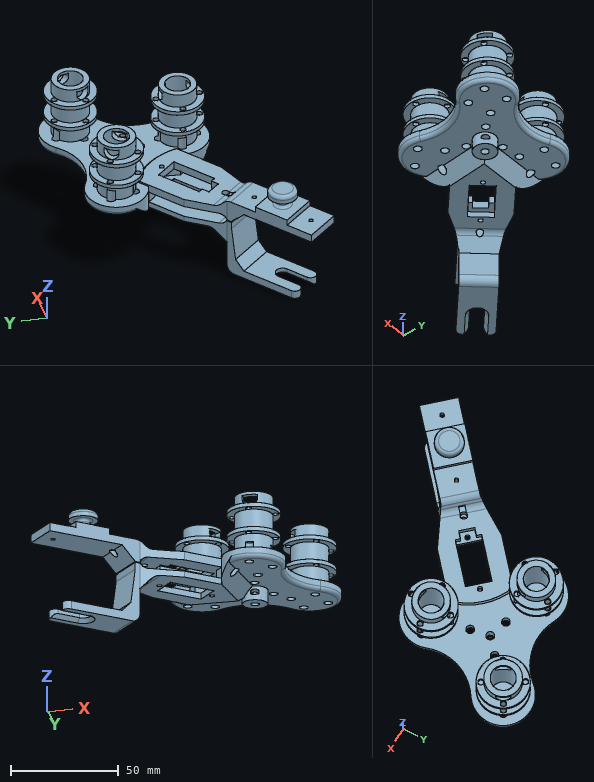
import cadquery as cq
import math

ARM_HEADING = 41.475

SPOOL_SPACING = 50.0
SPOOL_CIRCLE = SPOOL_SPACING / math.sqrt(3)
SPOOL_ANGLES = (0, 120, 240)
LOBE_RADIUS = 15.0
BLEND_RADIUS = 25.0
SPOOL_PLATE_BOTTOM = 31.0
SPOOL_PLATE_TOP = 36.0
SPOOL_PLATE_EDGE_FILLET = 2.0
PLATE_HOLE_DIAMETER = 3.9
PLATE_HOLE_CIRCLE = 9.8

SPOOL_TOP = 66.0
TUBE_RADIUS = 9.0
BORE_RADIUS = 6.0
FLANGE_RADIUS = 12.6
FLANGE_THICKNESS = 2.0
FLANGE_BOTTOMS = (45.0, 57.0)
FLANGE_HOLE_DIAMETER = 2.8
FLANGE_HOLE_CIRCLE = 10.4
FOOT_HOLE_DIAMETER = 4.0
FOOT_HOLE_TOP = 41.0
FOOT_HOLE_ANGLES = (0, 90, 180, 270)
NOTCHED_FEET = {0: (90,), 120: (0,), 240: FOOT_HOLE_ANGLES}
SHALLOW_FEET = {120: (90,)}
SHALLOW_CORE_RADIUS = 8.8
WINDOW_RADIUS = 3.6
WINDOW_BOTTOM = FLANGE_BOTTOMS[1] + FLANGE_THICKNESS
WINDOW_TOP = 64.4
SPOOL_TWIST = 30 - ARM_HEADING

LOWER_ARM_TOP = 4.2
LOWER_PLATE_BOTTOM = 24.1
LOWER_PLATE_TOP = 27.1
UPPER_PLATE_BOTTOM = 32.7
UPPER_PLATE_TOP = 36.8
ARM_TOP = 41.0
SLIT_LOW = 29.35
SLIT_HIGH = 29.75
GAP_ARCH_RADIUS = 4.0

ARM_HALF_WIDTH = 9.375
BRACKET_HALF_WIDTH = 15.4
ARM_TIP = -113.76
FORK_TIP = -105.3
WALL_BACK = -66.0
WALL_FRONT = -68.6
WALL_FRONT_LOW = -70.9
INNER_CORNER = -75.6
WALL_WAIST = 25.8
INNER_SLOPE_BASE = 9.0
FLARE_END = -45.8
HEEL_RADIUS = 4.0
BEND_RADIUS = 5.0
LOWER_GUSSET = 7.3
NOSE_ARC_CENTER = -50.0
NOSE_ARC_RADIUS = 34.3
NOSE_CHAMFER = UPPER_PLATE_TOP - SPOOL_PLATE_TOP

SERVO_START = -48.15
SERVO_LENGTH = 22.9
SERVO_WIDTH = 12.5
CABLE_NOTCH_LENGTH = 3.9
CABLE_NOTCH_WIDTH = 7.6
SERVO_SCREW_DIAMETER = 2.3
SERVO_SCREW_OFFSET = 2.5
TENDON_HOLE = -58.8
TENDON_HOLE_DIAMETER = 3.4
TENDON_GROOVE_WIDTH = 3.0
TENDON_GROOVE_END = -63.2

HUB_RADIUS = 6.0
BLOCK_TOP = 33.0
SLOPE_HEADING = 30 + math.degrees(math.asin((LOBE_RADIUS - HUB_RADIUS) / SPOOL_CIRCLE))
BLOCK_START = -26.1
CAVITY_HALF_WIDTH = 10.34
CAVITY_END_RADIUS = 4.4
SIDE_HOLE_WIDTH = 4.0
SIDE_HOLE_HEIGHT = 2.7
SIDE_HOLE_LEVEL = 28.1

PIN_X = -91.0
PAD_LENGTH = 18.0
PAD_TOP = 43.9
PIN_TOP = 53.0
PIN_HEAD_BOTTOM = 48.9
PIN_HEAD_RADIUS = 7.0
PIN_HEAD_ROUND = 2.0
PIN_NECK_RADIUS = 3.1
PIN_NECK_FILLET = 1.4
ARM_HOLE_OFFSET = 16.0
ARM_HOLE_DIAMETER = 2.0
SLOPE_BORE_DIAMETER = 3.7
SLOT_RADIUS = 3.45
SLOT_CHAMFER = 2.0

MARGIN = 1.0


def polar(radius, angle):
    return (radius * math.cos(math.radians(angle)), radius * math.sin(math.radians(angle)))


def cylinder(x, y, radius, bottom, top):
    return cq.Workplane("XY", origin=(x, y, bottom)).circle(radius).extrude(top - bottom)


def box(x_start, x_end, half_width, bottom, top):
    return cq.Workplane("XY").box(
        x_end - x_start, 2 * half_width, top - bottom, centered=(False, True, False)
    ).translate((x_start, 0, bottom))


def lobed_outline(bottom, top):
    """Three lobes joined by concave arcs that are tangent to them."""
    triangle_inradius = SPOOL_CIRCLE / 2
    reach = LOBE_RADIUS + BLEND_RADIUS
    blend_circle = triangle_inradius + math.sqrt(reach**2 - (SPOOL_SPACING / 2) ** 2)

    def tangent_point(lobe_angle, blend_angle):
        lobe = cq.Vector(*polar(SPOOL_CIRCLE, lobe_angle))
        blend = cq.Vector(*polar(blend_circle, blend_angle))
        point = lobe + (blend - lobe) * (LOBE_RADIUS / reach)
        return (point.x, point.y)

    outline = cq.Workplane("XY", origin=(0, 0, bottom)).moveTo(*tangent_point(0, -60))
    for angle in SPOOL_ANGLES:
        outline = outline.threePointArc(
            polar(SPOOL_CIRCLE + LOBE_RADIUS, angle), tangent_point(angle, angle + 60)
        )
        outline = outline.threePointArc(
            polar(blend_circle - BLEND_RADIUS, angle + 60), tangent_point(angle + 120, angle + 60)
        )
    return outline.close().extrude(top - bottom)


def spool_plate():
    plate = lobed_outline(SPOOL_PLATE_BOTTOM, SPOOL_PLATE_TOP)
    return plate.faces("<Z").edges().fillet(SPOOL_PLATE_EDGE_FILLET)


def at_spool(body, spool_angle):
    """Move a body, made about the Z axis, to the spool at the given angle."""
    placed = body.rotate((0, 0, 0), (0, 0, 1), SPOOL_TWIST).translate((SPOOL_CIRCLE, 0, 0))
    return placed.rotate((0, 0, 0), (0, 0, 1), spool_angle)


def spool():
    body = cylinder(0, 0, TUBE_RADIUS, SPOOL_PLATE_TOP - MARGIN, SPOOL_TOP)
    for bottom in FLANGE_BOTTOMS:
        body = body.union(cylinder(0, 0, FLANGE_RADIUS, bottom, bottom + FLANGE_THICKNESS))
    body = body.cut(cylinder(0, 0, BORE_RADIUS, SPOOL_PLATE_TOP, SPOOL_TOP))
    flange_holes = (
        cq.Workplane("XY", origin=(0, 0, FLANGE_BOTTOMS[0]))
        .polarArray(FLANGE_HOLE_CIRCLE, 0, 360, 4)
        .circle(FLANGE_HOLE_DIAMETER / 2)
        .extrude(WINDOW_BOTTOM - FLANGE_BOTTOMS[0])
    )
    window_side = WINDOW_BOTTOM + WINDOW_RADIUS
    window = (
        cq.Workplane("YZ")
        .moveTo(-WINDOW_RADIUS, WINDOW_TOP)
        .lineTo(-WINDOW_RADIUS, window_side)
        .threePointArc((0, WINDOW_BOTTOM), (WINDOW_RADIUS, window_side))
        .lineTo(WINDOW_RADIUS, WINDOW_TOP)
        .close()
        .extrude(TUBE_RADIUS + MARGIN, both=True)
    )
    return body.cut(flange_holes).cut(window)


def foot_holes(spool_angle):
    """Plate holes under the rim of a tube; some run on upward and notch the tube's foot."""
    holes = cq.Workplane("XY")
    for angle in FOOT_HOLE_ANGLES:
        x, y = polar(TUBE_RADIUS, angle)
        notched = angle in NOTCHED_FEET[spool_angle]
        top = FOOT_HOLE_TOP if notched else SPOOL_PLATE_TOP
        hole = cylinder(x, y, FOOT_HOLE_DIAMETER / 2, LOWER_PLATE_BOTTOM - MARGIN, top)
        if angle in SHALLOW_FEET.get(spool_angle, ()):
            notch = cylinder(x, y, FOOT_HOLE_DIAMETER / 2, SPOOL_PLATE_TOP, FOOT_HOLE_TOP)
            core = cylinder(0, 0, SHALLOW_CORE_RADIUS, SPOOL_PLATE_TOP, FOOT_HOLE_TOP)
            hole = hole.union(notch.cut(core))
        holes = holes.add(hole)
    return holes.combine()


def arm_outline():
    """Arm outline from above: a straight finger that flares to the round-nosed bracket."""
    side_end = NOSE_ARC_CENTER + math.sqrt(NOSE_ARC_RADIUS**2 - BRACKET_HALF_WIDTH**2)
    return (
        cq.Workplane("XY")
        .moveTo(ARM_TIP, ARM_HALF_WIDTH)
        .lineTo(WALL_BACK, ARM_HALF_WIDTH)
        .lineTo(FLARE_END, BRACKET_HALF_WIDTH)
        .lineTo(side_end, BRACKET_HALF_WIDTH)
        .threePointArc((NOSE_ARC_CENTER + NOSE_ARC_RADIUS, 0), (side_end, -BRACKET_HALF_WIDTH))
        .lineTo(FLARE_END, -BRACKET_HALF_WIDTH)
        .lineTo(WALL_BACK, -ARM_HALF_WIDTH)
        .lineTo(ARM_TIP, -ARM_HALF_WIDTH)
        .close()
        .extrude(ARM_TOP)
    )


def arm_profile():
    """Side profile of the whole arm: two fingers, the wall between them and two bracket plates."""
    rise = ARM_TOP - UPPER_PLATE_TOP
    profile = (
        cq.Workplane("XZ")
        .polyline(
            [
                (ARM_TIP, ARM_TOP),
                (WALL_BACK, ARM_TOP),
                (WALL_BACK + rise, UPPER_PLATE_TOP),
                (0, UPPER_PLATE_TOP),
                (0, LOWER_PLATE_BOTTOM),
                (WALL_BACK + LOWER_GUSSET, LOWER_PLATE_BOTTOM),
                (WALL_BACK, LOWER_PLATE_BOTTOM - LOWER_GUSSET),
                (WALL_BACK, 0),
                (FORK_TIP, 0),
                (FORK_TIP, LOWER_ARM_TOP),
                (INNER_CORNER, LOWER_ARM_TOP),
                (WALL_FRONT_LOW, INNER_SLOPE_BASE),
                (WALL_FRONT, WALL_WAIST),
                (WALL_FRONT, SLIT_HIGH),
                (INNER_CORNER, UPPER_PLATE_TOP),
                (ARM_TIP, UPPER_PLATE_TOP),
            ]
        )
        .close()
        .extrude(BRACKET_HALF_WIDTH, both=True)
    )

    def bend(x, z):
        nearby = cq.selectors.BoxSelector(
            (x - MARGIN, -BRACKET_HALF_WIDTH, z - MARGIN), (x + MARGIN, BRACKET_HALF_WIDTH, z + MARGIN)
        )
        return profile.edges("|Y").edges(nearby)

    profile = bend(WALL_BACK, ARM_TOP).fillet(BEND_RADIUS)
    profile = bend(WALL_BACK + rise, UPPER_PLATE_TOP).fillet(BEND_RADIUS)
    profile = bend(WALL_BACK + LOWER_GUSSET, LOWER_PLATE_BOTTOM).fillet(BEND_RADIUS)
    return bend(WALL_BACK, 0).fillet(HEEL_RADIUS)


def plate_gap():
    """Gap between the bracket plates, arched at the wall and open to the front through a thin slit."""
    middle = (UPPER_PLATE_BOTTOM + LOWER_PLATE_TOP) / 2
    half_height = UPPER_PLATE_BOTTOM - middle
    arch_angle = math.acos(1 - half_height / GAP_ARCH_RADIUS)
    arch_end = WALL_BACK + GAP_ARCH_RADIUS * math.sin(arch_angle)
    arch_middle = arch_end - GAP_ARCH_RADIUS * math.sin(arch_angle / 2)
    arch_rise = half_height - GAP_ARCH_RADIUS * (1 - math.cos(arch_angle / 2))
    gap = (
        cq.Workplane("XZ")
        .moveTo(WALL_BACK, middle)
        .threePointArc((arch_middle, middle + arch_rise), (arch_end, UPPER_PLATE_BOTTOM))
        .lineTo(0, UPPER_PLATE_BOTTOM)
        .lineTo(0, LOWER_PLATE_TOP)
        .lineTo(arch_end, LOWER_PLATE_TOP)
        .threePointArc((arch_middle, middle - arch_rise), (WALL_BACK, middle))
        .close()
        .extrude(BRACKET_HALF_WIDTH, both=True)
    )
    slit = box(WALL_FRONT - MARGIN, WALL_BACK + MARGIN, BRACKET_HALF_WIDTH, SLIT_LOW, SLIT_HIGH)
    return gap.union(slit)


def arm():
    """Arm with its fingers and bracket plates, before the fork and the servo seat are cut."""
    body = arm_profile().intersect(arm_outline()).cut(plate_gap())
    return body.faces(">X").edges(">Z").chamfer(NOSE_CHAMFER)


def block_slope(side):
    """Removed space beyond a 45 degree plane; its lowest line is tangent to hub and spool lobe."""
    size = 2 * (SPOOL_CIRCLE + LOBE_RADIUS)
    height = BLOCK_TOP - LOWER_PLATE_BOTTOM + MARGIN
    wedge = (
        cq.Workplane("XZ")
        .moveTo(-HUB_RADIUS, LOWER_PLATE_BOTTOM)
        .lineTo(-HUB_RADIUS + height, LOWER_PLATE_BOTTOM + height)
        .lineTo(size, LOWER_PLATE_BOTTOM + height)
        .lineTo(size, LOWER_PLATE_BOTTOM)
        .close()
        .extrude(size, both=True)
    )
    return wedge.rotate((0, 0, 0), (0, 0, 1), side * SLOPE_HEADING)


def cavity():
    """Space in the block between the plates: a V closed by a round end."""
    tip = BLOCK_START + CAVITY_HALF_WIDTH * math.tan(math.radians(SLOPE_HEADING))
    triangle = (
        cq.Workplane("XY", origin=(0, 0, LOWER_PLATE_TOP))
        .polyline([(BLOCK_START, CAVITY_HALF_WIDTH), (tip, 0), (BLOCK_START, -CAVITY_HALF_WIDTH)])
        .close()
        .extrude(UPPER_PLATE_BOTTOM - LOWER_PLATE_TOP)
    )
    return triangle.edges("|Z and >X").fillet(CAVITY_END_RADIUS)


def hub_block():
    """Block that ties the lobes beside the arm, the hub and both bracket plates together."""
    front = box(BLOCK_START, 0, BRACKET_HALF_WIDTH, LOWER_PLATE_BOTTOM, BLOCK_TOP)
    block = lobed_outline(LOWER_PLATE_BOTTOM, BLOCK_TOP).union(front)
    return block.cut(cavity())


def hub():
    return cylinder(0, 0, HUB_RADIUS, LOWER_PLATE_BOTTOM, SPOOL_PLATE_TOP)


def side_holes():
    hole = (
        cq.Workplane("YZ", origin=(0, 0, SIDE_HOLE_LEVEL))
        .ellipse(SIDE_HOLE_WIDTH / 2, SIDE_HOLE_HEIGHT / 2)
        .extrude(HUB_RADIUS + MARGIN)
    )
    holes = cq.Workplane("XY")
    for angle in SPOOL_ANGLES:
        holes = holes.add(hole.rotate((0, 0, 0), (0, 0, 1), angle))
    return holes.combine()


def plate_holes():
    centers = [(0, 0)] + [polar(PLATE_HOLE_CIRCLE, angle) for angle in SPOOL_ANGLES]
    return (
        cq.Workplane("XY")
        .pushPoints(centers)
        .circle(PLATE_HOLE_DIAMETER / 2)
        .extrude(SPOOL_PLATE_TOP)
    )


def servo_cuts():
    servo_end = SERVO_START + SERVO_LENGTH
    cuts = box(SERVO_START, servo_end, SERVO_WIDTH / 2, 0, ARM_TOP)
    notch_start = SERVO_START - CABLE_NOTCH_LENGTH
    cuts = cuts.union(
        box(notch_start, SERVO_START, CABLE_NOTCH_WIDTH / 2, UPPER_PLATE_BOTTOM, ARM_TOP)
    )
    for x in (SERVO_START - SERVO_SCREW_OFFSET, servo_end + SERVO_SCREW_OFFSET):
        cuts = cuts.union(cylinder(x, 0, SERVO_SCREW_DIAMETER / 2, 0, ARM_TOP))
    cuts = cuts.union(cylinder(TENDON_HOLE, 0, TENDON_HOLE_DIAMETER / 2, 0, ARM_TOP))
    groove = box(TENDON_GROOVE_END, TENDON_HOLE, TENDON_GROOVE_WIDTH / 2, UPPER_PLATE_TOP, ARM_TOP)
    return cuts.union(groove)


def pin():
    """Mushroom pin revolved about its vertical axis."""
    foot = PIN_NECK_RADIUS + PIN_NECK_FILLET
    reach = PIN_NECK_FILLET * (1 - math.sqrt(0.5))
    return (
        cq.Workplane("XZ")
        .moveTo(0, PAD_TOP - MARGIN)
        .lineTo(foot, PAD_TOP - MARGIN)
        .lineTo(foot, PAD_TOP)
        .threePointArc(
            (PIN_NECK_RADIUS + reach, PAD_TOP + reach), (PIN_NECK_RADIUS, PAD_TOP + PIN_NECK_FILLET)
        )
        .lineTo(PIN_NECK_RADIUS, PIN_HEAD_BOTTOM - PIN_NECK_FILLET)
        .threePointArc(
            (PIN_NECK_RADIUS + reach, PIN_HEAD_BOTTOM - reach), (foot, PIN_HEAD_BOTTOM)
        )
        .lineTo(PIN_HEAD_RADIUS, PIN_HEAD_BOTTOM)
        .lineTo(PIN_HEAD_RADIUS, PIN_TOP)
        .lineTo(0, PIN_TOP)
        .close()
        .revolve(360, (0, 0), (0, 1))
        .faces(">Z").edges().fillet(PIN_HEAD_ROUND)
        .translate((PIN_X, 0, 0))
    )


def pad():
    half = PAD_LENGTH / 2
    return box(PIN_X - half, PIN_X + half, ARM_HALF_WIDTH, ARM_TOP, PAD_TOP)


def arm_holes():
    tip_hole = cylinder(PIN_X - ARM_HOLE_OFFSET, 0, ARM_HOLE_DIAMETER / 2, UPPER_PLATE_TOP, ARM_TOP)
    inner = PIN_X + ARM_HOLE_OFFSET
    inner_hole = cylinder(inner, 0, ARM_HOLE_DIAMETER / 2, UPPER_PLATE_BOTTOM, ARM_TOP)
    slope_bore = cylinder(inner, 0, SLOPE_BORE_DIAMETER / 2, UPPER_PLATE_BOTTOM, UPPER_PLATE_TOP + MARGIN)
    return tip_hole.union(inner_hole).union(slope_bore)


def fork_slot():
    """Open slot under the pin, with a 45 degree chamfer along its lower edge."""
    def outline(radius):
        mouth = FORK_TIP - SLOT_RADIUS
        return (
            cq.Workplane("XY")
            .moveTo(mouth, radius)
            .lineTo(PIN_X, radius)
            .threePointArc((PIN_X + radius, 0), (PIN_X, -radius))
            .lineTo(mouth, -radius)
            .close()
        )

    straight = outline(SLOT_RADIUS).extrude(LOWER_ARM_TOP)
    chamfer = outline(SLOT_RADIUS + SLOT_CHAMFER).extrude(SLOT_CHAMFER, taper=45)
    return straight.union(chamfer)


def fork_corners():
    """Material outside the round ends of the two fork tines."""
    tine_radius = (ARM_HALF_WIDTH - SLOT_RADIUS) / 2
    center_x = FORK_TIP + tine_radius
    corners = box(FORK_TIP, center_x, ARM_HALF_WIDTH, 0, LOWER_ARM_TOP)
    for side in (1, -1):
        center_y = side * (SLOT_RADIUS + tine_radius)
        corners = corners.cut(cylinder(center_x, center_y, tine_radius, 0, LOWER_ARM_TOP))
    return corners


body = arm().cut(fork_corners()).cut(fork_slot()).union(hub_block())
body = body.cut(block_slope(1)).cut(block_slope(-1))
body = body.union(spool_plate()).union(hub()).union(pad()).union(pin())
for spool_angle in SPOOL_ANGLES:
    body = body.union(at_spool(spool(), spool_angle))
    body = body.cut(at_spool(foot_holes(spool_angle), spool_angle))
body = body.cut(plate_holes()).cut(side_holes()).cut(servo_cuts()).cut(arm_holes())

result = body.rotate((0, 0, 0), (0, 0, 1), ARM_HEADING)